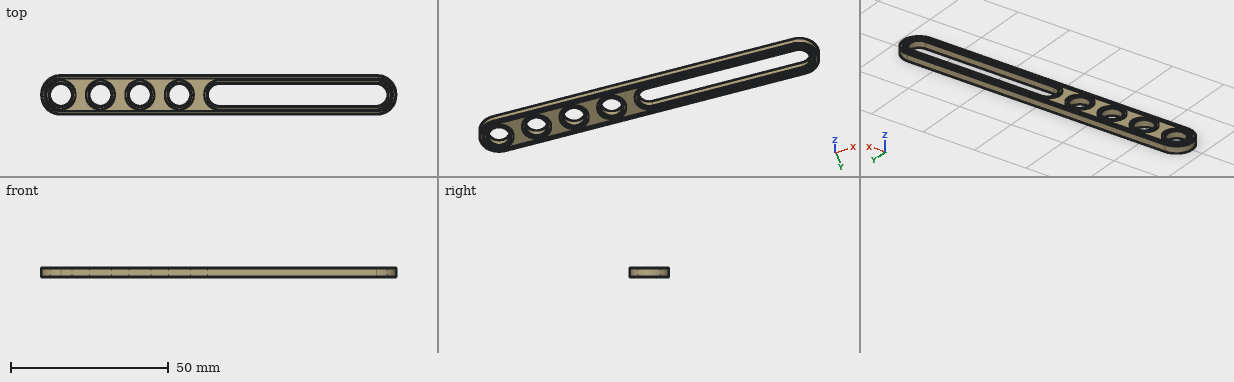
import cadquery as cq

unit = 12.5
length_units = 9
thickness = unit / 4
hole_diameter = 7.0
round_hole_count = 4
edge_chamfer = 0.3
collar_diameter = 9.2
rim_width = 1.1
recess_depth = 0.2

length = length_units * unit
first_hole_x = -(length - unit) / 2
hole_centers = [(first_hole_x + i * unit, 0) for i in range(round_hole_count)]
slot_start_x = first_hole_x + round_hole_count * unit
slot_end_x = (length - unit) / 2
slot_center = ((slot_start_x + slot_end_x) / 2, 0)
slot_travel = slot_end_x - slot_start_x


def round_ended_bar(overall_length, width, height, center=(0, 0)):
    """Bar along X with semicircular ends, straddling the XY plane."""
    plan = cq.Workplane("XY").center(*center).slot2D(overall_length, width)
    return plan.extrude(height / 2, both=True)


def make_openings(diameter, height):
    """The row of round holes and the long slot, all of one width."""
    circles = cq.Workplane("XY").pushPoints(hole_centers).circle(diameter / 2)
    holes = circles.extrude(height / 2, both=True)
    slot = round_ended_bar(slot_travel + diameter, diameter, height, slot_center)
    return holes.union(slot)


def make_plate():
    """Bar cut by the openings, with all top and bottom edges chamfered."""
    bar = round_ended_bar(length, unit, thickness)
    plate = bar.cut(make_openings(hole_diameter, thickness))
    return plate.faces("|Z").edges().chamfer(edge_chamfer)


def make_recesses():
    """Shallow pockets on both faces, inside the border and outside the collars."""
    field = round_ended_bar(length - 2 * rim_width, unit - 2 * rim_width, thickness)
    collars = make_openings(collar_diameter, thickness)
    core = round_ended_bar(length, unit, thickness - 2 * recess_depth)
    return field.cut(collars).cut(core)


result = make_plate().cut(make_recesses())